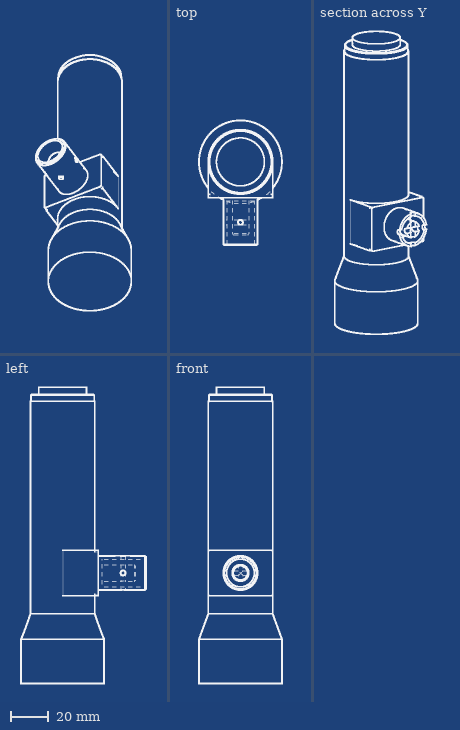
import cadquery as cq

total_height = 156.5
head_diameter = 44.0
head_radius = head_diameter / 2
head_height = 23.3
cone_top = 36.8
body_radius = 17.0
body_top = 149.0
ring_radius = 16.7
ring_top = 152.5
ring_chamfer = 0.5
cap_radius = 12.7

block_width = 2 * body_radius
block_height = 24.1
block_center_z = 58.4
block_front = 19.0
plate_thickness = 1.9
plate_corner_radius = 0.8

tube_radius = 9.0
overall_depth = 66.0
tube_end = overall_depth - head_radius
tube_chamfer = 0.6
bore_radius = 7.4
bore_depth = 23.5
pin_radius = 4.4
pin_setback = 5.6
pin_chamfer = 0.6
cross_hole_diameter = 2.5
cross_hole_y = -31.9


def turned_body():
    """Head, cone, barrel, ring and end cap as one revolved outline."""
    outline = [
        (0, 0),
        (head_radius, 0),
        (head_radius, head_height),
        (body_radius, cone_top),
        (body_radius, body_top),
        (ring_radius, body_top),
        (ring_radius, ring_top - ring_chamfer),
        (ring_radius - ring_chamfer, ring_top),
        (cap_radius, ring_top),
        (cap_radius, total_height),
        (0, total_height),
    ]
    return cq.Workplane("XZ").polyline(outline).close().revolve(360, (0, 0), (0, 1))


def front_cylinder(radius, start, length):
    """Cylinder on the tube axis, running toward -Y from a distance in front of the Z axis."""
    return (
        cq.Workplane("XZ", origin=(0, -start, block_center_z))
        .circle(radius)
        .extrude(length)
    )


def block_layer(back, front):
    """Slab of the connector block between two distances in front of the Z axis."""
    return (
        cq.Workplane("XZ", origin=(0, -back, block_center_z))
        .rect(block_width, block_height)
        .extrude(front - back)
    )


def connector_block():
    """Square-cornered block from the body axis, faced by a plate with rounded corners."""
    plate_back = block_front - plate_thickness
    plate = block_layer(plate_back, block_front).edges("|Y").fillet(plate_corner_radius)
    return block_layer(0, plate_back).union(plate)


def cross_holes():
    """Two crossed pin holes through the tube, one along X and one along Z."""
    reach = 2 * tube_radius
    along_z = cq.Workplane("XY").circle(cross_hole_diameter / 2).extrude(reach, both=True)
    along_x = cq.Workplane("YZ").circle(cross_hole_diameter / 2).extrude(reach, both=True)
    return along_z.union(along_x).translate((0, cross_hole_y, block_center_z))


tube = front_cylinder(tube_radius, 0, tube_end).faces("<Y").chamfer(tube_chamfer)
bore = front_cylinder(bore_radius, tube_end - bore_depth, bore_depth)
pin = front_cylinder(pin_radius, tube_end - bore_depth, bore_depth - pin_setback)
pin = pin.faces("<Y").chamfer(pin_chamfer)

result = turned_body().union(connector_block()).union(tube)
result = result.cut(bore).union(pin).cut(cross_holes())